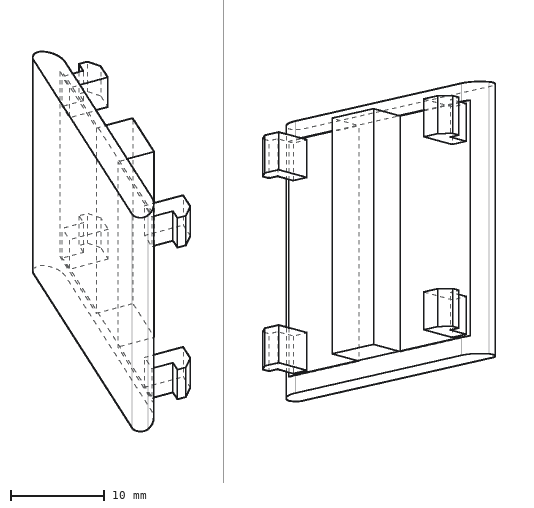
import cadquery as cq
import math

plate_width = 29.5
plate_height = 30.0
plate_thickness = 3.0
front_edge_radius = 1.0
back_edge_radius = 3.0
crease_y = plate_thickness / 2

band_floor_y = 2.8

hook_tip_y = 7.25
hook_height = 4.17
hook_end_gap = 2.28
stem_inner_x = 10.5
stem_outer_x = 12.5
lip_outer_x = 13.75
lip_bottom_y = 5.25
lip_corner_y = 6.25

spine_width = 6.0
spine_height = 25.98
spine_top_y = 7.02

root_y = plate_thickness / 2


def make_plate():
    """Plate with rounded long edges: right half of the profile, mirrored and extruded."""
    front_flat_x = plate_width / 2 - front_edge_radius
    front_end_angle = math.asin((crease_y - front_edge_radius) / front_edge_radius)
    crease_x = front_flat_x + front_edge_radius * math.cos(front_end_angle)
    front_mid_angle = (front_end_angle - math.pi / 2) / 2
    front_mid = (
        front_flat_x + front_edge_radius * math.cos(front_mid_angle),
        front_edge_radius * (1 + math.sin(front_mid_angle)),
    )

    back_center_y = plate_thickness - back_edge_radius
    back_end_angle = math.asin((crease_y - back_center_y) / back_edge_radius)
    back_flat_x = crease_x - back_edge_radius * math.cos(back_end_angle)
    back_mid_angle = (back_end_angle + math.pi / 2) / 2
    back_mid = (
        back_flat_x + back_edge_radius * math.cos(back_mid_angle),
        back_center_y + back_edge_radius * math.sin(back_mid_angle),
    )

    return (
        cq.Workplane("XY", origin=(0, 0, -plate_height / 2))
        .lineTo(front_flat_x, 0)
        .threePointArc(front_mid, (crease_x, crease_y))
        .threePointArc(back_mid, (back_flat_x, plate_thickness))
        .lineTo(0, plate_thickness)
        .mirrorY()
        .extrude(plate_height)
    )


def centered_bar(width, start_y, end_y, height):
    """Box centred in X and Z that spans start_y to end_y."""
    return cq.Workplane("XY", origin=(0, start_y, 0)).box(
        width, end_y - start_y, height, centered=(True, False, True)
    )


def make_hook(side, bottom_z):
    """Snap hook with its lip pointing outward; side is -1 or +1 along X."""
    outline = [
        (stem_inner_x, root_y),
        (stem_outer_x, root_y),
        (stem_outer_x, lip_bottom_y),
        (lip_outer_x, lip_bottom_y),
        (lip_outer_x, lip_corner_y),
        (stem_outer_x, hook_tip_y),
        (stem_inner_x, hook_tip_y),
    ]
    return (
        cq.Workplane("XY", origin=(0, 0, bottom_z))
        .polyline([(side * x, y) for x, y in outline])
        .close()
        .extrude(hook_height)
    )


band = centered_bar(plate_width, band_floor_y, plate_thickness, spine_height)
spine = centered_bar(spine_width, root_y, spine_top_y, spine_height)
result = make_plate().cut(band).union(spine)

lower_hook_z = -plate_height / 2 + hook_end_gap
upper_hook_z = -lower_hook_z - hook_height
for hook_side in (-1, 1):
    for hook_z in (lower_hook_z, upper_hook_z):
        result = result.union(make_hook(hook_side, hook_z))